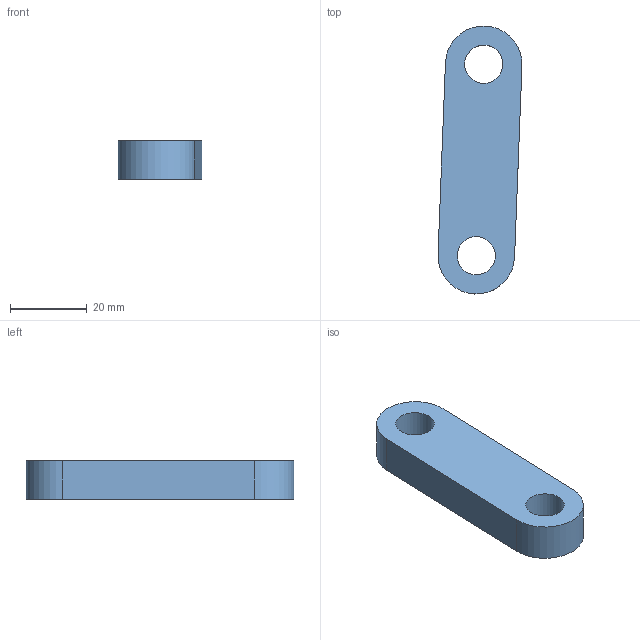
import cadquery as cq
import math

THICKNESS = 10.0
END_RADIUS = 10.0
HOLE_DIAMETER = 10.0
HOLE_OFFSET_X = 1.94
HOLE_OFFSET_Y = 49.99

UPPER_CENTRE = (HOLE_OFFSET_X / 2, HOLE_OFFSET_Y / 2)
LOWER_CENTRE = (-HOLE_OFFSET_X / 2, -HOLE_OFFSET_Y / 2)
HOLE_SPACING = math.hypot(HOLE_OFFSET_X, HOLE_OFFSET_Y)
LINK_ANGLE = math.degrees(math.atan2(HOLE_OFFSET_Y, HOLE_OFFSET_X))


def link_body():
    """Flat bar with full-round ends, leaning slightly from the Y axis."""
    overall_length = HOLE_SPACING + 2 * END_RADIUS
    return (
        cq.Workplane("XY")
        .slot2D(overall_length, 2 * END_RADIUS, LINK_ANGLE)
        .extrude(THICKNESS)
    )


def pin_holes():
    """Cylinders for the through holes, concentric with the round ends."""
    return (
        cq.Workplane("XY")
        .pushPoints([UPPER_CENTRE, LOWER_CENTRE])
        .circle(HOLE_DIAMETER / 2)
        .extrude(THICKNESS)
    )


result = link_body().cut(pin_holes())